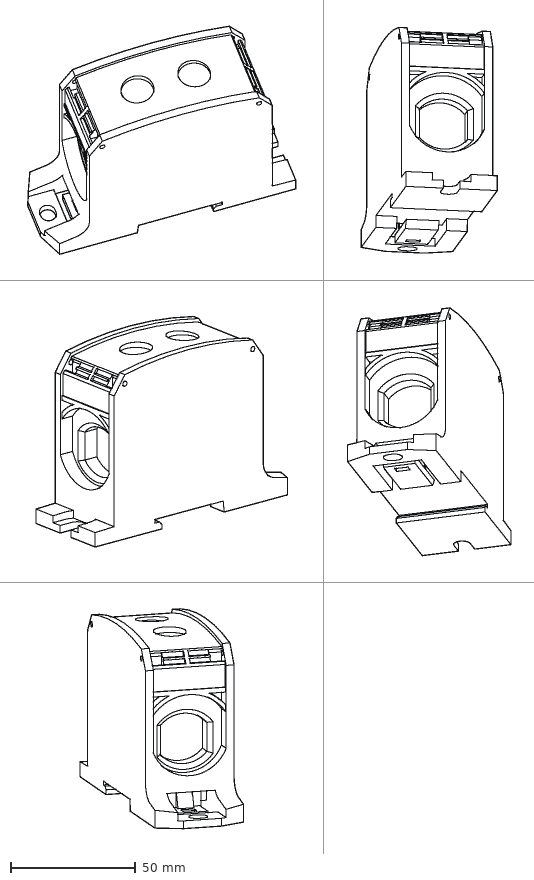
import cadquery as cq
import math

WIDTH = 37.5
LENGTH = 105.0
HEIGHT = 73.5
HALF_WIDTH = WIDTH / 2

BODY_FRONT = 17.1
BODY_REAR = 95.0
BODY_MID = (BODY_FRONT + BODY_REAR) / 2
SHOULDER_Z = 62.3
CHAMFER_Y = 5.6
CHAMFER_Z = 7.9
CHAMFER_TOP = SHOULDER_Z + CHAMFER_Z
SIDE_WALL = 3.4
INNER_HALF_WIDTH = HALF_WIDTH - SIDE_WALL

FOOT_TIP_Z = 6.4
FOOT_SLOPE = 0.22
FOOT_FILLET = 7.6
FOOT_NOSE_HALF_WIDTH = 8.0
FOOT_NOSE_TAPER = 4.5
FOOT_PLATE_Z = 3.3
FOOT_PLATE_REAR = 11.9
FOOT_HOLE_Y = 5.9
FOOT_HOLE_LENGTH = 7.7
FOOT_HOLE_WIDTH = 6.4

TUNNEL_HALF_WIDTH = 10.2
TUNNEL_TOP = 11.4
TUNNEL_REAR = 27.3

FLANGE_Z = 6.2
FLANGE_ROOT_Z = 6.5
REAR_SLOT_WIDTH = 6.8
REAR_SLOT_Y = 98.9
SEAT_WIDTH = 15.9
SEAT_Z = FOOT_PLATE_Z

RAIL_TOP = 4.8
RAIL_FRONT = 38.1
RAIL_FRONT_FOOT = 37.6
RAIL_REAR = 70.0
RAIL_UNDERCUT_REAR = 73.7
LIP_Z = 3.3
LIP_BEVEL = 1.3

COVER_DROP = 1.4
COVER_INSET = 1.4
COVER_FRONT = BODY_FRONT + COVER_INSET
COVER_REAR = BODY_REAR - COVER_INSET
COVER_LOWER_Z = 53.0
COVER_SHOULDER_Z = 62.4
COVER_CHAMFER_Y = 4.6
COVER_CHAMFER_TOP = CHAMFER_TOP - COVER_DROP
SCREW_RECESS_RADIUS = 6.6
SCREW_RECESS_SPACING = 24.2
SCREW_RECESS_FLOOR = 69.7

LABEL_BAND_HALF = 0.9
LABEL_SLOT_OUTER = 9.9
LABEL_SLOTS_Z = ((63.5, 65.3), (66.0, 68.0))
LABEL_SLOT_DEPTH = 1.3
NOTCH_FLOOR_Z = 60.9
NOTCH_LIP = 0.8
NOTCH_REAR_TOP = 66.5
PIN_HOLE_DIAMETER = 2.1
PIN_HOLE_Y = 5.6
PIN_HOLE_Z = 66.3

ENTRY_FLOOR = 23.5
ENTRY_BOTTOM = 17.7
ENTRY_SIDE_BOTTOM = 28.0
ENTRY_TOP = 51.0
LEDGE_INSET = 0.9
RING_Z = 32.1
RING_INNER = ENTRY_TOP - RING_Z
RING_WIDTH = 1.8
RING_OUTER = RING_INNER + RING_WIDTH
BORE_Z = 31.4
BORE_HALF_WIDTH = 9.9
BORE_HALF_SIDE = 6.0
BORE_HALF_HEIGHT = 10.4
BORE_CHAMFER = 2.0
BORE_CHAMFER_HALF_SIDE = 6.5
BORE_CHAMFER_DEPTH = 1.9
BORE_DEPTH = 8.1

LATCH_HALF_WIDTH = 6.7
LATCH_FRONT = 14.4
LATCH_HOOK_TIP = 40.3
LATCH_HOOK_FOOT = 37.8
LATCH_POST_HALF_WIDTH = 7.2
LATCH_POST_FRONT = 25.2
LATCH_RAMP_HALF_WIDTH = 3.4
LATCH_RAMP_FRONT = 22.3
TOOL_HOLE_WIDTH = 5.7
TOOL_HOLE_FRONT = 17.1
TOOL_HOLE_REAR = 20.1

OVERCUT = 1.0


def box(x_min, x_max, y_min, y_max, z_min, z_max):
    size = (x_max - x_min, y_max - y_min, z_max - z_min)
    return cq.Workplane("XY").box(*size, centered=False).translate((x_min, y_min, z_min))


def across(profile, half_width):
    """Extrude a closed YZ outline to both sides of the centre plane."""
    return profile.close().extrude(half_width, both=True)


def to_rear(shape):
    """Mirror a front-end shape to the rear end of the body."""
    return shape.mirror("XZ", (0, BODY_MID, 0))


def foot_top(y):
    return FOOT_TIP_Z + FOOT_SLOPE * y


def side_profile():
    """Side outline with a fillet tangent to the front wall and the sloping foot top."""
    slope_angle = math.atan(FOOT_SLOPE)
    tangent = FOOT_FILLET / math.tan(math.pi / 4 + slope_angle / 2)
    tangent_z = foot_top(BODY_FRONT) + tangent
    tangent_y = BODY_FRONT - tangent * math.cos(slope_angle)
    middle_angle = (math.pi / 2 - slope_angle) / 2
    middle = (
        BODY_FRONT - FOOT_FILLET + FOOT_FILLET * math.cos(middle_angle),
        tangent_z - FOOT_FILLET * math.sin(middle_angle),
    )
    return (
        cq.Workplane("YZ")
        .moveTo(0, 0)
        .lineTo(0, foot_top(0))
        .lineTo(tangent_y, foot_top(tangent_y))
        .threePointArc(middle, (BODY_FRONT, tangent_z))
        .lineTo(BODY_FRONT, SHOULDER_Z)
        .lineTo(BODY_FRONT + CHAMFER_Y, CHAMFER_TOP)
        .threePointArc((BODY_MID, HEIGHT), (BODY_REAR - CHAMFER_Y, CHAMFER_TOP))
        .lineTo(BODY_REAR, SHOULDER_Z)
        .lineTo(BODY_REAR, FLANGE_ROOT_Z)
        .lineTo(LENGTH, FLANGE_Z)
        .lineTo(LENGTH, 0)
    )


def plan_outline():
    return (
        cq.Workplane("XY")
        .moveTo(-FOOT_NOSE_HALF_WIDTH, 0)
        .lineTo(FOOT_NOSE_HALF_WIDTH, 0)
        .lineTo(HALF_WIDTH, FOOT_NOSE_TAPER)
        .lineTo(HALF_WIDTH, LENGTH)
        .lineTo(-HALF_WIDTH, LENGTH)
        .lineTo(-HALF_WIDTH, FOOT_NOSE_TAPER)
        .close()
        .extrude(HEIGHT)
    )


def rail_channel():
    profile = (
        cq.Workplane("YZ")
        .moveTo(RAIL_FRONT_FOOT, 0)
        .lineTo(RAIL_FRONT, RAIL_TOP)
        .lineTo(RAIL_UNDERCUT_REAR, RAIL_TOP)
        .lineTo(RAIL_UNDERCUT_REAR, LIP_Z)
        .lineTo(RAIL_REAR + LIP_BEVEL, LIP_Z)
        .lineTo(RAIL_REAR, LIP_Z - LIP_BEVEL)
        .lineTo(RAIL_REAR, 0)
    )
    return across(profile, HALF_WIDTH)


def latch_tunnel():
    """Recess over the foot plate, tunnel under the front wall and channel to the rail."""
    half = TUNNEL_HALF_WIDTH
    plate_recess = box(-half, half, 0, FOOT_PLATE_REAR, FOOT_PLATE_Z, TUNNEL_TOP)
    tunnel = box(-half, half, FOOT_PLATE_REAR, TUNNEL_REAR, 0, TUNNEL_TOP)
    channel = box(-half, half, TUNNEL_REAR, RAIL_FRONT, 0, RAIL_TOP)
    return plate_recess.union(tunnel).union(channel)


def foot_hole():
    return (
        cq.Workplane("XY")
        .center(0, FOOT_HOLE_Y)
        .slot2D(FOOT_HOLE_LENGTH, FOOT_HOLE_WIDTH)
        .extrude(FOOT_PLATE_Z)
    )


def open_slot(width, y_front_limit, z_min):
    """Vertical slot open at the rear end, with a round front end kept behind y_front_limit."""
    straight = box(-width / 2, width / 2, REAR_SLOT_Y, LENGTH, z_min, FLANGE_ROOT_Z)
    height = FLANGE_ROOT_Z - z_min
    round_end = cq.Workplane("XY", (0, REAR_SLOT_Y, z_min)).circle(width / 2).extrude(height)
    limit = box(-HALF_WIDTH, HALF_WIDTH, y_front_limit, LENGTH, z_min, FLANGE_ROOT_Z)
    return straight.union(round_end).intersect(limit)


def cover_relief():
    """Space above and in front of the sunken cover, between the side walls."""
    cover = across(
        cq.Workplane("YZ")
        .moveTo(COVER_FRONT, COVER_LOWER_Z)
        .lineTo(COVER_FRONT, COVER_SHOULDER_Z)
        .lineTo(COVER_FRONT + COVER_CHAMFER_Y, COVER_CHAMFER_TOP)
        .threePointArc(
            (BODY_MID, HEIGHT - COVER_DROP),
            (COVER_REAR - COVER_CHAMFER_Y, COVER_CHAMFER_TOP),
        )
        .lineTo(COVER_REAR, COVER_SHOULDER_Z)
        .lineTo(COVER_REAR, COVER_LOWER_Z),
        INNER_HALF_WIDTH,
    )
    half = INNER_HALF_WIDTH
    space = box(-half, half, BODY_FRONT, BODY_REAR, COVER_LOWER_Z, HEIGHT + OVERCUT)
    return space.cut(cover)


def screw_recesses():
    """Two round flat-bottomed recesses in the cover top."""
    centres = [(0, BODY_MID - SCREW_RECESS_SPACING / 2), (0, BODY_MID + SCREW_RECESS_SPACING / 2)]
    return (
        cq.Workplane("XY", (0, 0, SCREW_RECESS_FLOOR))
        .pushPoints(centres)
        .circle(SCREW_RECESS_RADIUS)
        .extrude(HEIGHT - SCREW_RECESS_FLOOR)
    )


def cover_chamfer_y(z):
    chamfer_height = COVER_CHAMFER_TOP - COVER_SHOULDER_Z
    return COVER_FRONT + COVER_CHAMFER_Y * (z - COVER_SHOULDER_Z) / chamfer_height


def slanted_cutter(x_inner, x_outer, z_min, z_max, inner_points):
    """Cutter through a cover chamfer from z_min to z_max, closed inside by the given YZ points."""
    return (
        cq.Workplane("YZ", (x_inner, 0, 0))
        .polyline([(BODY_FRONT, z_min), *inner_points, (BODY_FRONT, z_max)])
        .close()
        .extrude(x_outer - x_inner)
    )


def label_notch():
    """Deep notch beside the slots, reaching down behind a thin lip."""
    z_min = LABEL_SLOTS_Z[0][0]
    z_max = LABEL_SLOTS_Z[-1][1]
    lip_y = cover_chamfer_y(z_min) + NOTCH_LIP
    top_rear_y = ENTRY_FLOOR + cover_chamfer_y(z_max) - cover_chamfer_y(NOTCH_REAR_TOP)
    inner_points = [
        (lip_y, z_min),
        (lip_y, NOTCH_FLOOR_Z),
        (ENTRY_FLOOR, NOTCH_FLOOR_Z),
        (ENTRY_FLOOR, NOTCH_REAR_TOP),
        (top_rear_y, z_max),
    ]
    return slanted_cutter(LABEL_SLOT_OUTER, INNER_HALF_WIDTH, z_min, z_max, inner_points)


def label_slots(side):
    """Two slanted slots and the notch beside them, on one side of the centre web."""
    slots = label_notch()
    for z_min, z_max in LABEL_SLOTS_Z:
        floor = [(cover_chamfer_y(z) + LABEL_SLOT_DEPTH, z) for z in (z_min, z_max)]
        slots = slots.union(slanted_cutter(LABEL_BAND_HALF, LABEL_SLOT_OUTER, z_min, z_max, floor))
    return slots if side > 0 else slots.mirror("YZ")


def pin_holes():
    """Small holes through both side walls near the front upper chamfer."""
    return (
        cq.Workplane("YZ")
        .center(BODY_FRONT + PIN_HOLE_Y, PIN_HOLE_Z)
        .circle(PIN_HOLE_DIAMETER / 2)
        .extrude(HALF_WIDTH, both=True)
        .cut(box(-INNER_HALF_WIDTH, INNER_HALF_WIDTH, 0, LENGTH, 0, HEIGHT))
    )


def entry_outline(y_front, z_top, depth):
    """Cable entry outline: straight sides and a rounded bottom, cut inwards from y_front."""
    half = INNER_HALF_WIDTH
    return (
        cq.Workplane("XZ", (0, y_front, 0))
        .moveTo(-half, z_top)
        .lineTo(-half, ENTRY_SIDE_BOTTOM)
        .threePointArc((0, ENTRY_BOTTOM), (half, ENTRY_SIDE_BOTTOM))
        .lineTo(half, z_top)
        .close()
        .extrude(-depth)
    )


def bore_outline(plane, half_width, half_side, half_height):
    """Bore outline with straight sides and arched top and bottom."""
    return (
        plane.moveTo(-half_width, BORE_Z - half_side)
        .threePointArc((0, BORE_Z - half_height), (half_width, BORE_Z - half_side))
        .lineTo(half_width, BORE_Z + half_side)
        .threePointArc((0, BORE_Z + half_height), (-half_width, BORE_Z + half_side))
        .close()
    )


def cable_bore():
    """Bore behind the entry floor with a tapered mouth."""
    bore = bore_outline(
        cq.Workplane("XZ", (0, ENTRY_FLOOR, 0)), BORE_HALF_WIDTH, BORE_HALF_SIDE, BORE_HALF_HEIGHT
    ).extrude(-BORE_DEPTH)
    mouth = bore_outline(
        cq.Workplane("XZ", (0, ENTRY_FLOOR, 0)),
        BORE_HALF_WIDTH + BORE_CHAMFER,
        BORE_CHAMFER_HALF_SIDE,
        BORE_HALF_HEIGHT + BORE_CHAMFER,
    ).workplane(offset=-BORE_CHAMFER_DEPTH)
    mouth = bore_outline(mouth, BORE_HALF_WIDTH, BORE_HALF_SIDE, BORE_HALF_HEIGHT).loft(ruled=True)
    return bore.union(mouth)


def cable_entry():
    """Recess in the end wall around the arched ring, with the bore in its floor."""
    ring = (
        cq.Workplane("XZ", (0, BODY_FRONT + LEDGE_INSET, 0))
        .center(0, RING_Z)
        .circle(RING_OUTER)
        .circle(RING_INNER)
        .extrude(BODY_FRONT + LEDGE_INSET - ENTRY_FLOOR)
    )
    upper_half = box(-HALF_WIDTH, HALF_WIDTH, BODY_FRONT, ENTRY_FLOOR, RING_Z, HEIGHT)
    recess = entry_outline(BODY_FRONT, ENTRY_TOP, ENTRY_FLOOR - BODY_FRONT)
    recess = recess.cut(ring.intersect(upper_half))
    ledge = entry_outline(BODY_FRONT, COVER_LOWER_Z, LEDGE_INSET)
    return recess.union(ledge).union(cable_bore())


def make_housing():
    housing = across(side_profile(), HALF_WIDTH).intersect(plan_outline())
    housing = housing.cut(rail_channel()).cut(latch_tunnel()).cut(foot_hole())
    housing = housing.cut(open_slot(REAR_SLOT_WIDTH, BODY_REAR, 0))
    housing = housing.cut(open_slot(SEAT_WIDTH, BODY_REAR, SEAT_Z))
    housing = housing.cut(cover_relief()).cut(screw_recesses())
    for feature in (cable_entry(), label_slots(1), label_slots(-1), pin_holes()):
        housing = housing.cut(feature).cut(to_rear(feature))
    return housing


def make_latch():
    """Sliding rail latch: tongue with a tool hole, upright post with a ramp, and hook."""
    slider = across(
        cq.Workplane("YZ")
        .moveTo(LATCH_FRONT, 0)
        .lineTo(LATCH_FRONT, FOOT_PLATE_Z)
        .lineTo(LATCH_HOOK_TIP, FOOT_PLATE_Z)
        .lineTo(LATCH_HOOK_FOOT, 0),
        LATCH_HALF_WIDTH,
    )
    half = LATCH_POST_HALF_WIDTH
    post = box(-half, half, LATCH_POST_FRONT, TUNNEL_REAR, FOOT_PLATE_Z, TUNNEL_TOP)
    ramp = across(
        cq.Workplane("YZ")
        .moveTo(LATCH_RAMP_FRONT, FOOT_PLATE_Z)
        .lineTo(LATCH_POST_FRONT, TUNNEL_TOP)
        .lineTo(LATCH_POST_FRONT, FOOT_PLATE_Z),
        LATCH_RAMP_HALF_WIDTH,
    )
    half_hole = TOOL_HOLE_WIDTH / 2
    tool_hole = box(-half_hole, half_hole, TOOL_HOLE_FRONT, TOOL_HOLE_REAR, 0, FOOT_PLATE_Z)
    return slider.union(post).union(ramp).cut(tool_hole)


housing = make_housing()
latch = make_latch()
result = cq.Compound.makeCompound([*housing.solids().vals(), *latch.solids().vals()])